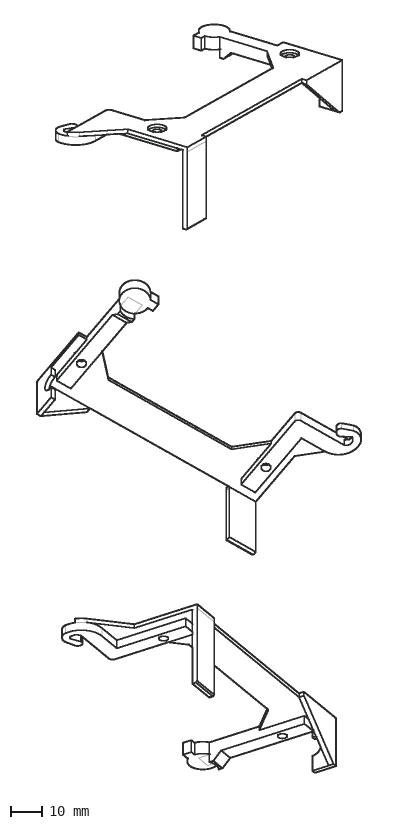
import cadquery as cq
import math

length = 97.1
width = 51.5
height = 29.0
plate_thickness = 1.5
rib_depth = 4.5
wall_thickness = 1.8
wall_x = width - wall_thickness

rib_width = 5.5
rib_half = rib_width / 2
rib_end_x = 45.0
screw_x = 35.0
upper_arm_y = 91.2
lower_arm_y = 19.5

shoulder_x = 28.0
web_x = 37.1
flare = web_x - shoulder_x
wing_x = 13.5
wing_corner_radius = 1.5
lower_edge_y = 13.3
lower_wall_top_y = 23.6

hole_diameter = 3.0
counterbore_diameter = 6.0
counterbore_depth = 1.1

ball_diameter = 10.0
ball_radius = ball_diameter / 2
tab_x = 1.8
tab_end_y = 84.2
catch_depth = 2.9
catch_top_x = 13.6

upper_wall_y = 77.7
back_wall_thickness = 1.6
back_wall_y = length - back_wall_thickness
back_wall_x = 43.5
corner_height = 17.9
notch_diameter = 6.9
notch_radius = notch_diameter / 2
notch_z = -8.8

lower_wall_chamfer = 0.5

wing_rib_x = wing_x + rib_width
hook_radius = 7.7
hook_center_x = wing_rib_x - hook_radius
arc_45 = hook_radius * math.sqrt(0.5)
slope_x = hook_center_x + arc_45
slope_y = hook_radius - arc_45
hook_left_x = 7.2
hook_bend_x = 10.0
hook_left_y = 4.8
hook_left_middle = (7.9, 1.6)
throat_start_y = 4.0
throat_bottom = (11.3, 2.5)
throat_end = (9.5, 3.8)
hook_tip_inner = (11.6, 7.1)
hook_tip_top = (11.1, 8.7)
hook_tip_outer = (8.6, 8.45)
selection_margin = 0.1


def hook_arc_y(x):
    """Y of the lower half of the hook's outside arc."""
    return hook_radius - math.sqrt(hook_radius**2 - (x - hook_center_x) ** 2)


def block(x0, x1, y0, y1, z0, z1):
    """Box given by its limits along each axis."""
    return cq.Workplane("XY").box(x1 - x0, y1 - y0, z1 - z0, centered=False).translate((x0, y0, z0))


def make_plate():
    """Flat plate with the upper arm, the web and the tapered lower wing."""
    arm_bottom = upper_arm_y - rib_half
    arm_top = upper_arm_y + rib_half
    wing_top = lower_arm_y + rib_half
    arc_middle_x = (wing_x + slope_x) / 2
    return (
        cq.Workplane("XY")
        .moveTo(ball_radius, arm_bottom)
        .lineTo(shoulder_x, arm_bottom)
        .lineTo(web_x, arm_bottom - flare)
        .lineTo(web_x, wing_top + flare)
        .lineTo(shoulder_x, wing_top)
        .lineTo(wing_x, wing_top)
        .lineTo(wing_x, hook_arc_y(wing_x))
        .threePointArc((arc_middle_x, hook_arc_y(arc_middle_x)), (slope_x, slope_y))
        .lineTo(slope_x + lower_edge_y - slope_y, lower_edge_y)
        .lineTo(width, lower_edge_y)
        .lineTo(width, lower_wall_top_y)
        .lineTo(wall_x, lower_wall_top_y)
        .lineTo(wall_x, length)
        .lineTo(shoulder_x, length)
        .lineTo(shoulder_x, arm_top)
        .lineTo(ball_radius, arm_top)
        .close()
        .extrude(-plate_thickness)
    )


def make_arm_rib(start_x, center_y):
    """Straight rib under an arm, running below its screw hole."""
    return block(start_x, rib_end_x, center_y - rib_half, center_y + rib_half, -rib_depth, -plate_thickness)


def make_hook():
    """Wing rib and the curved hook at its lower end, below the plate."""
    mid_x = hook_center_x + arc_45
    return (
        cq.Workplane("XY")
        .workplane(offset=-rib_depth)
        .moveTo(wing_x, lower_arm_y + rib_half)
        .lineTo(wing_x, throat_start_y)
        .threePointArc(throat_bottom, throat_end)
        .lineTo(*hook_tip_inner)
        .threePointArc(hook_tip_top, hook_tip_outer)
        .lineTo(hook_left_x, hook_left_y)
        .threePointArc(hook_left_middle, (hook_bend_x, hook_arc_y(hook_bend_x)))
        .threePointArc((mid_x, hook_arc_y(mid_x)), (wing_rib_x, hook_radius))
        .lineTo(wing_rib_x, lower_arm_y + rib_half)
        .close()
        .extrude(rib_depth - plate_thickness)
    )


def make_ball_end():
    """Round end of the upper arm with its small square tab."""
    ball = cq.Workplane("XY").center(ball_radius, upper_arm_y).circle(ball_radius).extrude(-rib_depth)
    tab = block(tab_x, ball_radius, tab_end_y, upper_arm_y, -rib_depth, 0)
    return ball.union(tab)


def make_catch():
    """Sloping catch under the arm, hollowed to the radius of the ball."""
    wedge = (
        cq.Workplane("XZ", origin=(0, upper_arm_y + rib_half, 0))
        .moveTo(ball_radius, -rib_depth)
        .lineTo(catch_top_x, -rib_depth)
        .lineTo(catch_top_x - catch_depth, -rib_depth - catch_depth)
        .lineTo(ball_radius, -rib_depth - catch_depth)
        .close()
        .extrude(rib_width)
    )
    hollow = (
        cq.Workplane("XY", origin=(ball_radius, upper_arm_y, -rib_depth))
        .circle(ball_radius)
        .extrude(-catch_depth)
    )
    return wedge.cut(hollow)


def make_upper_corner():
    """Notched back wall braced by a sloping side wall."""
    back = block(back_wall_x, width, back_wall_y, length, -corner_height, 0)
    notch = (
        cq.Workplane("XZ", origin=(back_wall_x, length, notch_z))
        .circle(notch_radius)
        .extrude(back_wall_thickness)
    )
    side = (
        cq.Workplane("YZ", origin=(wall_x, 0, 0))
        .moveTo(upper_wall_y, 0)
        .lineTo(length, 0)
        .lineTo(length, -corner_height)
        .lineTo(back_wall_y, -corner_height)
        .lineTo(upper_wall_y, -plate_thickness)
        .close()
        .extrude(wall_thickness)
    )
    return back.cut(notch).union(side)


def make_lower_wall():
    """Hanging wall with a bevel along its lower outer edge."""
    wall = block(wall_x, width, lower_edge_y, lower_wall_top_y, -height, 0)
    return wall.edges(">X and <Z").chamfer(lower_wall_chamfer)


ribs = make_hook().union(make_arm_rib(wing_x, lower_arm_y))
body = make_plate().union(ribs)
wing_corner = cq.selectors.BoxSelector(
    (wing_x - selection_margin, lower_arm_y + rib_half - selection_margin, -height),
    (wing_x + selection_margin, lower_arm_y + rib_half + selection_margin, height),
)
body = body.clean().edges("|Z").edges(wing_corner).fillet(wing_corner_radius)

body = body.union(make_arm_rib(ball_radius, upper_arm_y))
for feature in (make_ball_end(), make_catch(), make_upper_corner(), make_lower_wall()):
    body = body.union(feature)

result = (
    body.faces(">Z")
    .workplane(origin=(0, 0, 0))
    .pushPoints([(screw_x, upper_arm_y), (screw_x, lower_arm_y)])
    .cboreHole(hole_diameter, counterbore_diameter, counterbore_depth)
)